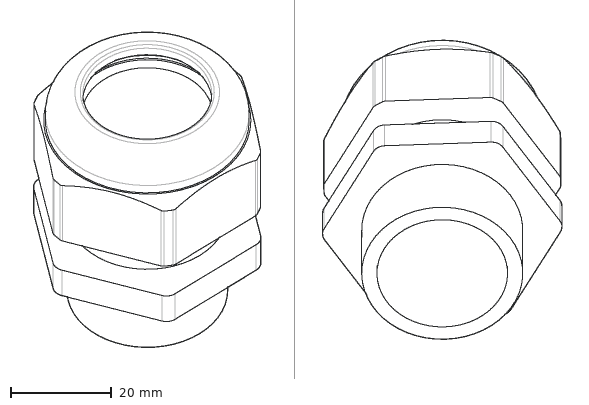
import cadquery as cq
import math

total_height = 56.0
across_flats = 42.0
tube_radius = 16.0

body_height = 50.25
body_bore_radius = 13.0
recess_radius = 15.25
recess_depth = 0.45

nut_bottom = 14.9
nut_height = 7.2
nut_corner_radius = 2.7

cap_bottom = 30.4
shoulder_z = 48.05
shoulder_radius = 20.6
collar_radius = 20.3
dome_radius = 5.9
cap_corner_radius = 23.6
cap_cone_bottom = 46.0
cap_edge_fillet = 1.25
mouth_radius = 12.8
mouth_fillet = 0.5
mouth_cone_top = 53.65


def hexagon(bottom, height):
    """Hexagonal prism with two flats facing -X and +X."""
    corner_to_corner = across_flats / math.cos(math.pi / 6)
    prism = cq.Workplane("XY").polygon(6, corner_to_corner).extrude(height)
    return prism.rotate((0, 0, 0), (0, 0, 1), 30).translate((0, 0, bottom))


def cylinder(radius, bottom, top):
    """Cylinder on the gland axis."""
    return cq.Workplane("XY").workplane(offset=bottom).circle(radius).extrude(top - bottom)


def make_body():
    tube = cylinder(tube_radius, 0, body_height)
    bore = cylinder(body_bore_radius, 0, body_height)
    recess = cylinder(recess_radius, body_height - recess_depth, body_height)
    return tube.cut(bore).cut(recess)


def make_lock_nut():
    nut = hexagon(nut_bottom, nut_height).edges("|Z").fillet(nut_corner_radius)
    return nut.cut(cylinder(tube_radius, nut_bottom, nut_bottom + nut_height))


def make_cap_skirt():
    """Hexagon with turned corners, softened vertical edges and a conical top."""
    skirt_height = shoulder_z - cap_bottom
    skirt = hexagon(cap_bottom, skirt_height)
    skirt = skirt.intersect(cylinder(cap_corner_radius, cap_bottom, shoulder_z))
    skirt = skirt.edges("|Z").fillet(cap_edge_fillet)
    turned_profile = (
        cq.Workplane("XZ")
        .moveTo(0, cap_bottom)
        .lineTo(cap_corner_radius, cap_bottom)
        .lineTo(cap_corner_radius, cap_cone_bottom)
        .lineTo(shoulder_radius, shoulder_z)
        .lineTo(0, shoulder_z)
        .close()
    )
    return skirt.intersect(turned_profile.revolve(360, (0, 0, 0), (0, 1, 0)))


def make_cap_collar():
    """Round collar with a quarter-round dome edge."""
    collar = cylinder(collar_radius, cap_bottom, total_height)
    return collar.faces(">Z").edges().fillet(dome_radius)


def make_cap_cavity():
    """Space inside the cap: tube socket, cone and rounded mouth."""
    arc_shift = mouth_fillet * math.sqrt(0.5)
    mouth_top_radius = mouth_radius + mouth_fillet
    mouth_fillet_z = total_height - mouth_fillet
    profile = (
        cq.Workplane("XZ")
        .moveTo(0, cap_bottom)
        .lineTo(tube_radius, cap_bottom)
        .lineTo(tube_radius, body_height)
        .lineTo(mouth_radius, mouth_cone_top)
        .lineTo(mouth_radius, mouth_fillet_z)
        .threePointArc(
            (mouth_top_radius - arc_shift, mouth_fillet_z + arc_shift),
            (mouth_top_radius, total_height),
        )
        .lineTo(0, total_height)
        .close()
    )
    return profile.revolve(360, (0, 0, 0), (0, 1, 0))


def make_cap_nut():
    return make_cap_skirt().union(make_cap_collar()).cut(make_cap_cavity())


gland_body = make_body()
lock_nut = make_lock_nut()
cap_nut = make_cap_nut()

result = cq.Compound.makeCompound([gland_body.val(), lock_nut.val(), cap_nut.val()])